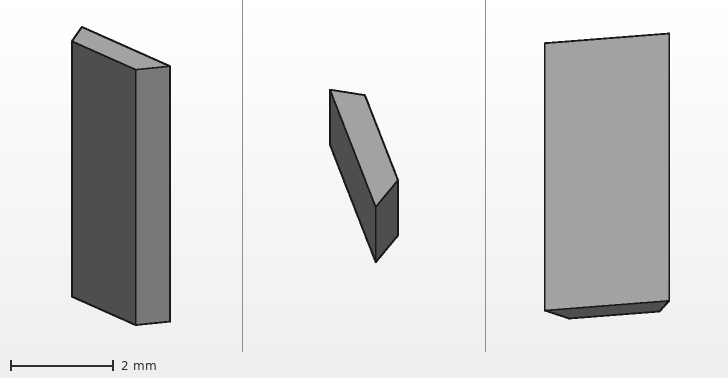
import cadquery as cq
import math

length = 5.5
wide_width = 2.5
thickness = 0.6
flank_angle = 60.0

flank_inset = thickness / math.tan(math.radians(flank_angle))
half_wide = wide_width / 2
half_narrow = half_wide - flank_inset

back_y = thickness / 2
front_y = -thickness / 2

result = (
    cq.Workplane("XY")
    .polyline([
        (-half_wide, back_y),
        (-half_narrow, front_y),
        (half_narrow, front_y),
        (half_wide, back_y),
    ])
    .close()
    .extrude(length / 2, both=True)
)